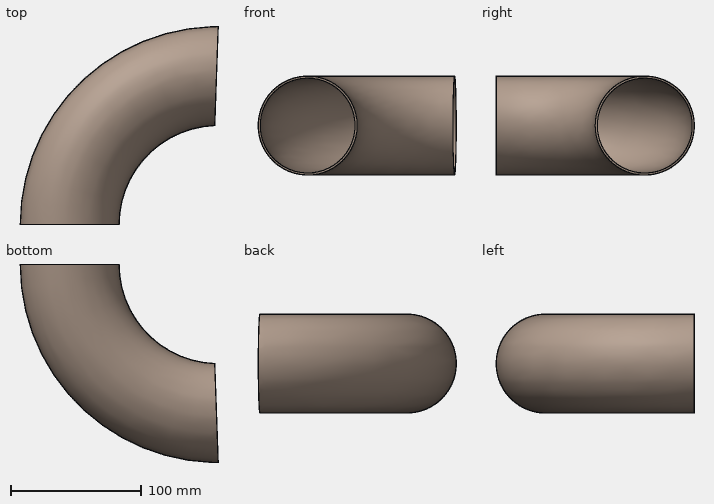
import cadquery as cq
import math

tube_diameter = 76.2
wall_thickness = 1.65
bend_radius = 1.5 * tube_diameter
bend_angle = 90
end_cut_tilt = 2.0

tube_radius = tube_diameter / 2
bore_radius = tube_radius - wall_thickness
outer_bend_radius = bend_radius + tube_radius


def make_bend():
    """Hollow tube bent from a start face at Y = 0 to an end face square to X."""
    section = cq.Workplane("XZ").circle(tube_radius).circle(bore_radius)
    return section.revolve(bend_angle, (bend_radius, 0, 0), (bend_radius, -1, 0))


def make_end_trim():
    """Wedge hinged at the outermost point of the end face, tilting the cut toward the inside of the bend."""
    inset = outer_bend_radius * math.tan(math.radians(end_cut_tilt))
    return (
        cq.Workplane("XY")
        .moveTo(bend_radius, outer_bend_radius)
        .lineTo(bend_radius - inset, 0)
        .lineTo(bend_radius, 0)
        .close()
        .extrude(tube_diameter, both=True)
    )


result = make_bend().cut(make_end_trim())